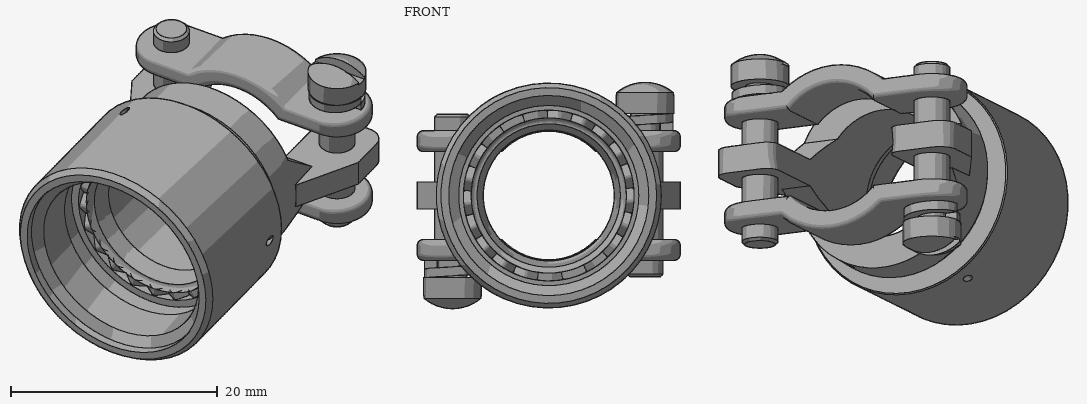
import cadquery as cq
import math

LENGTH = 30.15

NUT_RADIUS = 10.88
NUT_LENGTH = 13.72
NUT_FRONT_CHAMFER_LENGTH = 0.57
NUT_FRONT_CHAMFER_DEPTH = 0.45
NUT_REAR_CHAMFER = 0.12
MOUTH_RADIUS = 9.68
MOUTH_DEPTH = 0.8
MOUTH_CONE_END_Y = 1.5
NUT_BORE_RADIUS = 8.7
THREAD_END_Y = 5.45
WIRE_HOLE_RADIUS = 0.42
WIRE_HOLE_Y = 11.35
WIRE_HOLE_DEPTH = 0.78
WIRE_HOLE_TILT = 40.0
WIRE_HOLE_ANGLES = (0, 120, 240)

SHELL_FRONT_Y = 7.35
FLANGE_RADIUS = 9.05
FLANGE_REAR_Y = 12.05
NECK_RADIUS = 8.75
NECK_END_Y = 14.68
COLLAR_FRONT_Y = 15.15
COLLAR_FRONT_RADIUS = 9.53
COLLAR_REAR_Y = 18.8
COLLAR_REAR_RADIUS = 9.4
SHELL_BORE_RADIUS = 6.33
THROAT_ENTRY_RADIUS = 6.93
THROAT_MIDDLE_RADIUS = 6.63
THROAT_MIDDLE_Y = 9.05
THROAT_END_Y = 9.8

TOOTH_COUNT = 21
FIRST_TOOTH_ANGLE = 7.7
TOOTH_OUTER_RADIUS = 8.25
TOOTH_INNER_RADIUS = 7.5
TOOTH_APEX_Y = 7.4
TOOTH_VALLEY_Y = 8.3
TOOTH_CREST_ROUND = 0.5
TOOTH_OVERLAP = 0.15
LIP_Y = 7.55
LIP_ROUND = TOOTH_INNER_RADIUS - THROAT_ENTRY_RADIUS

CLAMP_HALF_SPAN = 12.738
ARM_THICKNESS = 2.62
ARM_CORNER_RADIUS = 1.72
ARM_TAPER_Y = 25.0
ARM_INNER_CORNER_RADIUS = 1.27
GUSSET_TIP_Y = 22.15
GUSSET_ROOT_HALF_HEIGHT = 3.98

STRAP_WIDTH = 6.85
STRAP_BOTTOM = 4.235
STRAP_TOP = 6.285
STRAP_OUTER_RADIUS = 8.3
STRAP_INNER_RADIUS = 6.2
STRAP_BEND_RADIUS = 0.35
STRAP_EDGE_FILLET = 0.63
CLAMP_Y = LENGTH - STRAP_WIDTH / 2
SCREW_X = CLAMP_HALF_SPAN - STRAP_WIDTH / 2

SHANK_RADIUS = 1.75
SHANK_TIP_CHAMFER = 0.27
SHANK_REACH = 7.87
NECK_UNDER_HEAD_RADIUS = 1.4
HEAD_RADIUS = 2.8
HEAD_BOTTOM = 7.93
HEAD_RIM = 9.95
HEAD_TOP = 10.99
SLOT_WIDTH = 1.05
SLOT_FLOOR = 9.7

WASHER_INNER_RADIUS = 1.48
WASHER_OUTER_RADIUS = 2.7
WASHER_BEDDING = 0.05
WASHER_THICKNESS = 0.87
WASHER_PITCH = HEAD_BOTTOM - STRAP_TOP + 2 * WASHER_BEDDING - WASHER_THICKNESS


def around_y(profile):
    """Revolve a profile, drawn as (radius, Y), about the Y axis."""
    return profile.close().revolve(360, (0, 0, 0), (0, 1, 0))


def y_cylinder(radius, start, end):
    return cq.Workplane("XZ", origin=(0, start, 0)).circle(radius).extrude(start - end)


def wire_hole(angle):
    """Blind hole from the nut surface, sloping inward and toward the rear."""
    tilt = math.radians(WIRE_HOLE_TILT)
    direction = cq.Vector(-math.sin(tilt), math.cos(tilt), 0)
    mouth = cq.Vector(NUT_RADIUS, WIRE_HOLE_Y, 0)
    run_in = 2 * WIRE_HOLE_RADIUS / math.tan(tilt)
    hole = cq.Solid.makeCylinder(
        WIRE_HOLE_RADIUS, run_in + WIRE_HOLE_DEPTH, mouth - direction * run_in, direction
    )
    return hole.rotate(cq.Vector(0, 0, 0), cq.Vector(0, 1, 0), angle)


def make_nut():
    nut = around_y(
        cq.Workplane("XY")
        .moveTo(MOUTH_RADIUS, 0)
        .lineTo(NUT_RADIUS - NUT_FRONT_CHAMFER_DEPTH, 0)
        .lineTo(NUT_RADIUS, NUT_FRONT_CHAMFER_LENGTH)
        .lineTo(NUT_RADIUS, NUT_LENGTH - NUT_REAR_CHAMFER)
        .lineTo(NUT_RADIUS - NUT_REAR_CHAMFER, NUT_LENGTH)
        .lineTo(NECK_RADIUS, NUT_LENGTH)
        .lineTo(NECK_RADIUS, FLANGE_REAR_Y)
        .lineTo(FLANGE_RADIUS, FLANGE_REAR_Y)
        .lineTo(FLANGE_RADIUS, THREAD_END_Y)
        .lineTo(NUT_BORE_RADIUS, THREAD_END_Y)
        .lineTo(NUT_BORE_RADIUS, MOUTH_CONE_END_Y)
        .lineTo(MOUTH_RADIUS, MOUTH_DEPTH)
    )
    for angle in WIRE_HOLE_ANGLES:
        nut = nut.cut(cq.Workplane(wire_hole(angle)))
    return nut


def make_shell_tube():
    """Shell before its through bore; the ring between the lip and the rim is open to the tooth valleys."""
    return around_y(
        cq.Workplane("XY")
        .moveTo(TOOTH_OUTER_RADIUS, SHELL_FRONT_Y)
        .lineTo(FLANGE_RADIUS, SHELL_FRONT_Y)
        .lineTo(FLANGE_RADIUS, FLANGE_REAR_Y)
        .lineTo(NECK_RADIUS, FLANGE_REAR_Y)
        .lineTo(NECK_RADIUS, NECK_END_Y)
        .lineTo(COLLAR_FRONT_RADIUS, COLLAR_FRONT_Y)
        .lineTo(COLLAR_REAR_RADIUS, COLLAR_REAR_Y)
        .lineTo(0, COLLAR_REAR_Y)
        .lineTo(0, THROAT_END_Y)
        .lineTo(SHELL_BORE_RADIUS, THROAT_END_Y)
        .lineTo(THROAT_MIDDLE_RADIUS, THROAT_MIDDLE_Y)
        .lineTo(THROAT_ENTRY_RADIUS, LIP_Y + LIP_ROUND)
        .radiusArc((TOOTH_INNER_RADIUS, LIP_Y), LIP_ROUND)
        .lineTo(TOOTH_INNER_RADIUS, TOOTH_VALLEY_Y)
        .lineTo(TOOTH_OUTER_RADIUS, TOOTH_VALLEY_Y)
    )


def make_teeth():
    """Round-crested radial teeth standing on the floor of the tooth ring."""
    mean_radius = (TOOTH_INNER_RADIUS + TOOTH_OUTER_RADIUS) / 2
    half_width = mean_radius * math.tan(math.pi / TOOTH_COUNT)
    tooth = (
        cq.Workplane("XY", origin=(0, 0, TOOTH_INNER_RADIUS - 0.3))
        .moveTo(-half_width, TOOTH_VALLEY_Y)
        .lineTo(0, TOOTH_APEX_Y)
        .lineTo(half_width, TOOTH_VALLEY_Y)
        .lineTo(half_width, TOOTH_VALLEY_Y + 0.3)
        .lineTo(-half_width, TOOTH_VALLEY_Y + 0.3)
        .close()
        .extrude(TOOTH_OUTER_RADIUS - TOOTH_INNER_RADIUS + 0.6)
        .edges("<Y")
        .fillet(TOOTH_CREST_ROUND)
    )
    ring_end = TOOTH_VALLEY_Y + TOOTH_OVERLAP
    ring = y_cylinder(TOOTH_OUTER_RADIUS + TOOTH_OVERLAP, SHELL_FRONT_Y, ring_end).cut(
        y_cylinder(TOOTH_INNER_RADIUS, SHELL_FRONT_Y, ring_end)
    )
    tooth = tooth.intersect(ring)
    pitch_angle = 360 / TOOTH_COUNT
    return [
        tooth.rotate((0, 0, 0), (0, 1, 0), FIRST_TOOTH_ANGLE + index * pitch_angle)
        for index in range(TOOTH_COUNT)
    ]


def make_arms():
    outline = (
        cq.Workplane("XY", origin=(0, 0, -ARM_THICKNESS / 2))
        .moveTo(COLLAR_REAR_RADIUS, COLLAR_REAR_Y)
        .lineTo(CLAMP_HALF_SPAN, ARM_TAPER_Y)
        .lineTo(CLAMP_HALF_SPAN, LENGTH)
        .lineTo(-CLAMP_HALF_SPAN, LENGTH)
        .lineTo(-CLAMP_HALF_SPAN, ARM_TAPER_Y)
        .lineTo(-COLLAR_REAR_RADIUS, COLLAR_REAR_Y)
        .close()
        .extrude(ARM_THICKNESS)
    )
    return outline.edges("|Z and >Y").fillet(ARM_CORNER_RADIUS)


def make_gussets():
    """Rearward continuation of the tapered collar, trimmed to a wedge at each arm."""
    taper = (COLLAR_FRONT_RADIUS - COLLAR_REAR_RADIUS) / (COLLAR_REAR_Y - COLLAR_FRONT_Y)
    tip_radius = COLLAR_REAR_RADIUS - taper * (GUSSET_TIP_Y - COLLAR_REAR_Y)
    collar = around_y(
        cq.Workplane("XY")
        .moveTo(0, COLLAR_FRONT_Y)
        .lineTo(COLLAR_FRONT_RADIUS, COLLAR_FRONT_Y)
        .lineTo(tip_radius, GUSSET_TIP_Y)
        .lineTo(0, GUSSET_TIP_Y)
    )
    wedge = (
        cq.Workplane("YZ")
        .moveTo(COLLAR_REAR_Y, -GUSSET_ROOT_HALF_HEIGHT)
        .lineTo(GUSSET_TIP_Y, -ARM_THICKNESS / 2)
        .lineTo(GUSSET_TIP_Y, ARM_THICKNESS / 2)
        .lineTo(COLLAR_REAR_Y, GUSSET_ROOT_HALF_HEIGHT)
        .close()
        .extrude(COLLAR_FRONT_RADIUS, both=True)
    )
    return collar.intersect(wedge)


def make_shell():
    shell = make_shell_tube().union(make_arms()).union(make_gussets())
    shell = shell.cut(y_cylinder(SHELL_BORE_RADIUS, THROAT_END_Y, LENGTH))
    inner_corners = cq.selectors.BoxSelector(
        (-SHELL_BORE_RADIUS, LENGTH - 0.3, -ARM_THICKNESS), (SHELL_BORE_RADIUS, LENGTH + 0.3, ARM_THICKNESS)
    )
    shell = shell.edges(inner_corners).fillet(ARM_INNER_CORNER_RADIUS)
    for tooth in make_teeth():
        shell = shell.union(tooth)
    screw_holes = (
        cq.Workplane("XY", origin=(0, CLAMP_Y, -ARM_THICKNESS))
        .pushPoints([(-SCREW_X, 0), (SCREW_X, 0)])
        .circle(SHANK_RADIUS)
        .extrude(2 * ARM_THICKNESS)
    )
    return shell.cut(screw_holes)


def make_strap():
    """Upper strap: two flat ears joined by an arch concentric with the Y axis."""
    bend_x = math.sqrt(
        (STRAP_OUTER_RADIUS + STRAP_BEND_RADIUS) ** 2 - (STRAP_TOP + STRAP_BEND_RADIUS) ** 2
    )
    tangent_ratio = STRAP_OUTER_RADIUS / (STRAP_OUTER_RADIUS + STRAP_BEND_RADIUS)
    arch_x = bend_x * tangent_ratio
    arch_z = (STRAP_TOP + STRAP_BEND_RADIUS) * tangent_ratio
    inner_x = math.sqrt(STRAP_INNER_RADIUS ** 2 - STRAP_BOTTOM ** 2)
    section = (
        cq.Workplane("XZ", origin=(0, LENGTH, 0))
        .moveTo(-CLAMP_HALF_SPAN, STRAP_BOTTOM)
        .lineTo(-CLAMP_HALF_SPAN, STRAP_TOP)
        .lineTo(-bend_x, STRAP_TOP)
        .radiusArc((-arch_x, arch_z), -STRAP_BEND_RADIUS)
        .threePointArc((0, STRAP_OUTER_RADIUS), (arch_x, arch_z))
        .radiusArc((bend_x, STRAP_TOP), -STRAP_BEND_RADIUS)
        .lineTo(CLAMP_HALF_SPAN, STRAP_TOP)
        .lineTo(CLAMP_HALF_SPAN, STRAP_BOTTOM)
        .lineTo(inner_x, STRAP_BOTTOM)
        .threePointArc((0, STRAP_INNER_RADIUS), (-inner_x, STRAP_BOTTOM))
        .close()
        .extrude(STRAP_WIDTH)
    )
    plan = (
        cq.Workplane("XY", origin=(0, CLAMP_Y, 0))
        .slot2D(2 * CLAMP_HALF_SPAN, STRAP_WIDTH)
        .extrude(STRAP_OUTER_RADIUS + STRAP_EDGE_FILLET)
    )
    strap = section.intersect(plan)
    return strap.edges("not (|Y or |Z)").fillet(STRAP_EDGE_FILLET)


def make_screw():
    """Raised cheese-head screw on the +X side, head up, with its tip below the lower strap."""
    dome_height = HEAD_TOP - HEAD_RIM
    dome_radius = (HEAD_RADIUS ** 2 + dome_height ** 2) / (2 * dome_height)
    screw = (
        cq.Workplane("XZ")
        .moveTo(0, -SHANK_REACH)
        .lineTo(SHANK_RADIUS - SHANK_TIP_CHAMFER, -SHANK_REACH)
        .lineTo(SHANK_RADIUS, SHANK_TIP_CHAMFER - SHANK_REACH)
        .lineTo(SHANK_RADIUS, STRAP_TOP)
        .lineTo(NECK_UNDER_HEAD_RADIUS, STRAP_TOP)
        .lineTo(NECK_UNDER_HEAD_RADIUS, HEAD_BOTTOM)
        .lineTo(HEAD_RADIUS, HEAD_BOTTOM)
        .lineTo(HEAD_RADIUS, HEAD_RIM)
        .radiusArc((0, HEAD_TOP), -dome_radius)
        .close()
        .revolve(360, (0, 0, 0), (0, 1, 0))
    )
    slot = (
        cq.Workplane("XY", origin=(0, 0, SLOT_FLOOR))
        .rect(2 * HEAD_RADIUS, SLOT_WIDTH)
        .extrude(HEAD_TOP - SLOT_FLOOR)
    )
    return screw.cut(slot).translate((SCREW_X, CLAMP_Y, 0))


def make_spring_washer():
    path = cq.Wire.makeHelix(WASHER_PITCH, WASHER_PITCH, WASHER_INNER_RADIUS)
    coil = (
        cq.Workplane("XZ")
        .moveTo(WASHER_INNER_RADIUS, 0)
        .lineTo(WASHER_OUTER_RADIUS, 0)
        .lineTo(WASHER_OUTER_RADIUS, WASHER_THICKNESS)
        .lineTo(WASHER_INNER_RADIUS, WASHER_THICKNESS)
        .close()
        .sweep(cq.Workplane(path), isFrenet=True)
    )
    return coil.translate((SCREW_X, CLAMP_Y, STRAP_TOP - WASHER_BEDDING))


def make_clamp():
    """Two identical halves, half a turn apart about Y, joined through their screws."""
    half = make_strap().union(make_screw()).union(make_spring_washer())
    return half.union(half.rotate((0, 0, 0), (0, 1, 0), 180))


nut = make_nut()
shell = make_shell()
clamp = make_clamp()

result = cq.Compound.makeCompound([nut.val(), shell.val(), clamp.val()])